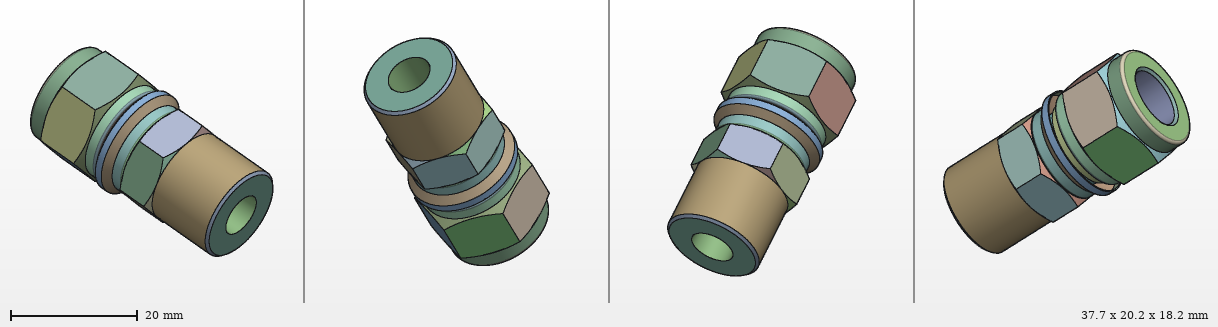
import cadquery as cq
import math

length = 37.7

collar_diameter = 17.0
collar_end = 3.0
collar_rounding = 0.5

nut_corner_diameter = 20.17
nut_end = 11.95
skirt_diameter = 16.8
skirt_end = 14.03
skirt_rounding = 0.38

neck_diameter = 14.3
neck_end = 15.57
undercut_diameter = 13.05
flange_diameter = 18.25
flange_start = 14.8
flange_rim_end = 16.05
flange_cone_end = 17.27
flange_wall = 0.23
dish_rim_end = 15.9

body_diameter = 15.8
body_hex_start = 19.35
body_hex_end = 25.87
body_hex_face_diameter = 15.7
barrel_rounding = 0.3
tube_chamfer = 0.45

hex_bevel_angle = 30.0

through_diameter = 7.13
socket_diameter = 9.73
socket_mouth_diameter = 10.65
socket_depth = 16.6
socket_chamfer = (socket_mouth_diameter - socket_diameter) / 2


def cylinder(start, end, diameter):
    """Round stretch along X between two positions."""
    return cq.Workplane("YZ", origin=(start, 0, 0)).circle(diameter / 2).extrude(end - start)


def bevelled_hex(start, end, corner_diameter, start_diameter, end_diameter):
    """Hexagon along X with corners on the Y axis, trimmed by a cone at each end."""
    prism = cq.Workplane("YZ", origin=(start, 0, 0)).polygon(6, corner_diameter).extrude(end - start)
    slope = math.tan(math.radians(hex_bevel_angle))
    corner_radius = corner_diameter / 2
    start_radius = start_diameter / 2
    end_radius = end_diameter / 2
    envelope = (
        cq.Workplane("XY")
        .moveTo(start, 0)
        .lineTo(start, start_radius)
        .lineTo(start + (corner_radius - start_radius) * slope, corner_radius)
        .lineTo(end - (corner_radius - end_radius) * slope, corner_radius)
        .lineTo(end, end_radius)
        .lineTo(end, 0)
        .close()
        .revolve(360, (0, 0, 0), (1, 0, 0))
    )
    return prism.intersect(envelope)


def make_nut():
    collar = cylinder(0, collar_end, collar_diameter).faces("<X").edges().fillet(collar_rounding)
    hexagon = bevelled_hex(collar_end, nut_end, nut_corner_diameter, collar_diameter, skirt_diameter)
    skirt = cylinder(nut_end, skirt_end, skirt_diameter).faces(">X").edges().fillet(skirt_rounding)
    return collar.union(hexagon).union(skirt)


def make_flange():
    """Conical flange, hollowed around the neck from its front face."""
    dish_radius = flange_diameter / 2 - flange_wall
    return (
        cq.Workplane("XY")
        .moveTo(flange_start, dish_radius)
        .lineTo(flange_start, flange_diameter / 2)
        .lineTo(flange_rim_end, flange_diameter / 2)
        .lineTo(flange_cone_end, body_diameter / 2)
        .lineTo(flange_cone_end, undercut_diameter / 2)
        .lineTo(dish_rim_end, dish_radius)
        .lineTo(flange_start, dish_radius)
        .close()
        .revolve(360, (0, 0, 0), (1, 0, 0))
    )


def make_body():
    neck = cylinder(skirt_end, neck_end, neck_diameter)
    undercut = cylinder(neck_end, flange_cone_end, undercut_diameter)
    barrel = cylinder(flange_cone_end, body_hex_start, body_diameter)
    barrel = barrel.faces(">X").edges().fillet(barrel_rounding)
    corner_diameter = body_diameter / math.cos(math.pi / 6)
    hexagon = bevelled_hex(
        body_hex_start, body_hex_end, corner_diameter, body_hex_face_diameter, body_diameter
    )
    tube = cylinder(body_hex_end, length, body_diameter).faces(">X").edges().chamfer(tube_chamfer)
    return neck.union(make_flange()).union(barrel).union(undercut).union(hexagon).union(tube)


def make_bore():
    through = cylinder(0, length, through_diameter)
    socket = cylinder(0, socket_depth, socket_diameter)
    mouth = cq.Workplane("YZ").circle(socket_mouth_diameter / 2)
    mouth = mouth.workplane(offset=socket_chamfer).circle(socket_diameter / 2).loft(ruled=True)
    return through.union(socket).union(mouth)


result = make_nut().union(make_body()).cut(make_bore())